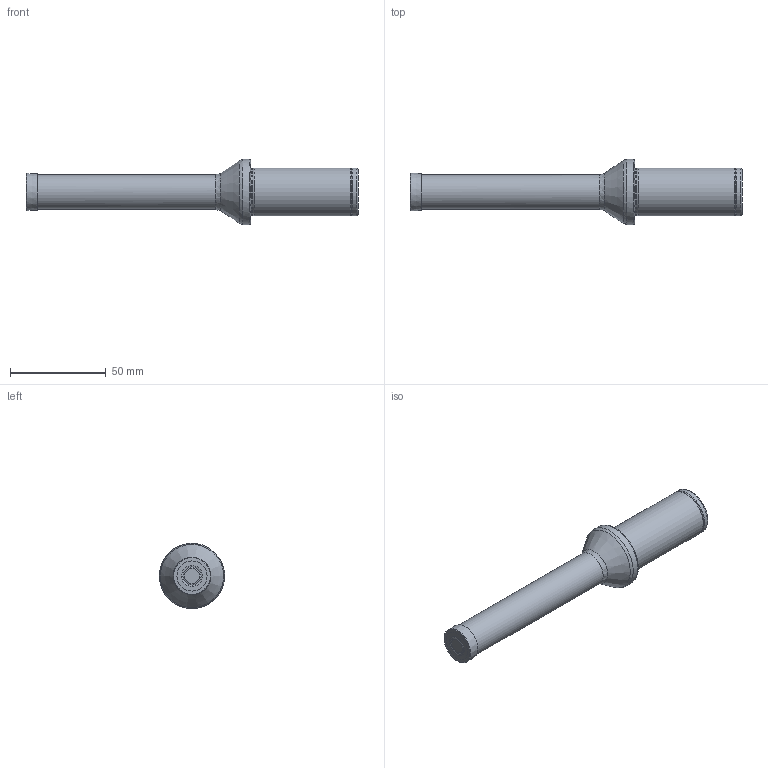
import cadquery as cq
import math


front_length = 117.0
head_length = 5.9
shank_length = 56.0
tip_x = -front_length
head_rear_x = tip_x + head_length

head_diameter = 19.5
face_edge_diameter = 19.1
head_rear_diameter = 19.2
crown_diameter = 15.7
ring_groove_outer_diameter = 10.9
ring_groove_bottom_diameter = 9.4
ring_groove_inner_diameter = 7.9
ring_groove_depth = 0.2
crown_drop = 0.05
face_edge_drop = 0.15
corner_length = 0.3

neck_diameter = 18.0
neck_fillet = 4.6
flange_diameter = 34.0
flange_width = 5.0
flange_cone_angle = 34.0
flange_front_fillet = 3.0
flange_rear_fillet = 0.6

shank_diameter = 25.0
relief_diameter = 24.5
relief_width = 1.0
relief_end_x = 2.0
relief_corner_fillet = 0.4
shank_groove_x = 52.0
shank_groove_width = 1.0
shank_groove_diameter = 24.5
shank_end_fillet = 1.0

edge_band = 0.1


def revolve_about_x(outline):
    """Turn a closed (x, radius) outline into a solid of revolution about the X axis."""
    return cq.Workplane("XY").polyline(outline).close().revolve(360, (0, 0, 0), (1, 0, 0))


def ring_edge(x, radius):
    """Select the circular edge at this x with this radius."""
    inner = radius - edge_band
    outer = radius + edge_band
    front, rear = x - edge_band, x + edge_band
    within_outer = cq.selectors.BoxSelector((front, -outer, -outer), (rear, outer, outer), True)
    within_inner = cq.selectors.BoxSelector((front, -inner, -inner), (rear, inner, inner), True)
    return within_outer - within_inner


def make_head():
    """Cutting head: crowned face with a shallow ring groove, and sides tapering to the rear."""
    face_edge_x = tip_x + face_edge_drop
    return revolve_about_x([
        (tip_x, 0),
        (tip_x, ring_groove_inner_diameter / 2),
        (tip_x + ring_groove_depth, ring_groove_bottom_diameter / 2),
        (tip_x, ring_groove_outer_diameter / 2),
        (tip_x + crown_drop, crown_diameter / 2),
        (face_edge_x, face_edge_diameter / 2),
        (face_edge_x + corner_length, head_diameter / 2),
        (head_rear_x, head_rear_diameter / 2),
        (head_rear_x, 0),
    ])


def make_neck_and_flange():
    """Long cylindrical neck opening through a cone into the flange."""
    neck_radius = neck_diameter / 2
    flange_radius = flange_diameter / 2
    cone_length = (flange_radius - neck_radius) / math.tan(math.radians(flange_cone_angle))
    cone_rear_x = -flange_width
    cone_front_x = cone_rear_x - cone_length
    body = revolve_about_x([
        (head_rear_x, 0),
        (head_rear_x, neck_radius),
        (cone_front_x, neck_radius),
        (cone_rear_x, flange_radius),
        (0, flange_radius),
        (0, 0),
    ])
    body = body.edges(ring_edge(cone_front_x, neck_radius)).fillet(neck_fillet)
    body = body.edges(ring_edge(cone_rear_x, flange_radius)).fillet(flange_front_fillet)
    return body.edges(ring_edge(0, flange_radius)).fillet(flange_rear_fillet)


def make_shank():
    """Cylindrical shank with a relief behind the flange and a V groove near its end."""
    shank_radius = shank_diameter / 2
    relief_radius = relief_diameter / 2
    body = revolve_about_x([
        (0, 0),
        (0, relief_radius),
        (relief_width, relief_radius),
        (relief_end_x, shank_radius),
        (shank_groove_x, shank_radius),
        (shank_groove_x + shank_groove_width / 2, shank_groove_diameter / 2),
        (shank_groove_x + shank_groove_width, shank_radius),
        (shank_length, shank_radius),
        (shank_length, 0),
    ])
    return body.edges(ring_edge(shank_length, shank_radius)).fillet(shank_end_fillet)


def make_holder():
    """Neck, flange and shank in one piece, with a rounded corner where flange and shank meet."""
    body = make_neck_and_flange().union(make_shank())
    return body.edges(ring_edge(0, relief_diameter / 2)).fillet(relief_corner_fillet)


head = make_head()
holder = make_holder()
result = cq.Compound.makeCompound([head.val(), *holder.solids().vals()])